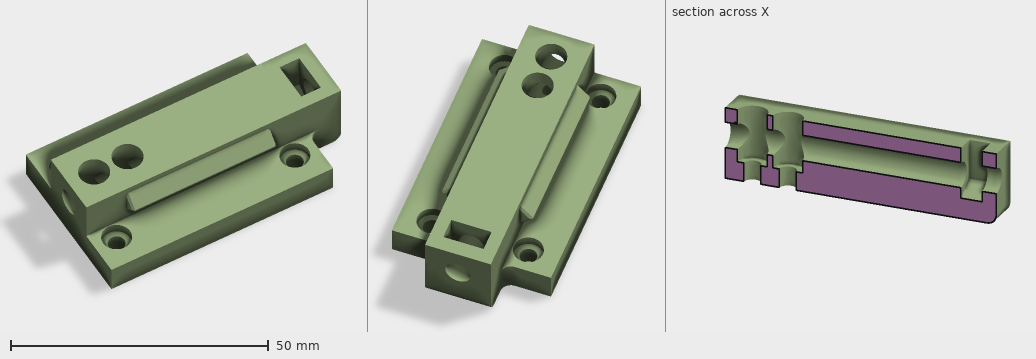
import cadquery as cq
import math

length = 57.25
width = 33.0
height = 15.0
base_height = 6.0
bar_width = 13.6
front_y = -length / 2
base_back_y = 21.2
base_length = base_back_y - front_y
toe_radius = 2.0
root_radius = 2.2

bore_diameter = 5.25
bore_z = 9.2
nut_width = 8.35
nut_front_y = base_back_y
nut_thickness = 4.4

screw_diameter = 3.5
base_head_diameter = 6.0
base_head_depth = 2.0
head_floor_z = base_height - base_head_depth
base_hole_spacing_x = 20.0
base_hole_spacing_y = 40.0
base_hole_center_y = -3.65
bar_head_diameter = 6.25
bar_hole_ys = (-22.9, -15.4)

rail_depth = 2.75
rail_z = 10.75
rail_front_y = -19.65
rail_length = 32.3
rail_chamfer = 0.45
rail_tip_flat = 0.3


def make_body():
    """Base plate and bar, with root fillets and a rounded lower toe."""
    base = cq.Workplane("XY").box(width, base_length, base_height, centered=(True, False, False))
    bar = cq.Workplane("XY").box(bar_width, length, height, centered=(True, False, False))
    bar = bar.edges(">Y and <Z").fillet(toe_radius)
    body = base.union(bar).translate((0, front_y, 0))
    for side in (-1, 1):
        root_x = side * bar_width / 2
        outer_x = root_x + side * root_radius
        mid_offset = root_radius * (1 - math.sqrt(0.5))
        root = (
            cq.Workplane("XY")
            .moveTo(root_x, base_back_y)
            .lineTo(outer_x, base_back_y)
            .threePointArc(
                (root_x + side * mid_offset, base_back_y + mid_offset),
                (root_x, base_back_y + root_radius),
            )
            .close()
            .extrude(base_height)
        )
        body = body.union(root)
    return body


def make_rails():
    """Square rod on edge through the bar; its corners form both side rails."""
    sharp_tip_x = bar_width / 2 + rail_depth
    flat_tip_x = sharp_tip_x - rail_tip_flat / 2
    profile = [(sharp_tip_x, 0), (0, sharp_tip_x), (-sharp_tip_x, 0), (0, -sharp_tip_x)]
    rod = cq.Workplane("XZ").polyline(profile).close().extrude(-rail_length)
    rod = rod.faces("<Y or >Y").chamfer(rail_chamfer)
    keep = cq.Workplane("XY").box(
        2 * flat_tip_x, rail_length, 2 * rail_depth, centered=(True, False, True)
    )
    return rod.intersect(keep).translate((0, rail_front_y, rail_z))


def make_nut_pocket():
    """Slot open at the top, ending in the lower two flats of a hex nut."""
    half_width = nut_width / 2
    corner_drop = half_width / math.cos(math.radians(30))
    flat_end_drop = half_width * math.tan(math.radians(30))
    profile = [
        (-half_width, height),
        (-half_width, bore_z - flat_end_drop),
        (0, bore_z - corner_drop),
        (half_width, bore_z - flat_end_drop),
        (half_width, height),
    ]
    pocket = cq.Workplane("XZ").polyline(profile).close().extrude(-nut_thickness)
    return pocket.translate((0, nut_front_y, 0))


def make_screw_hole(x, y, head_diameter, top_z):
    """Through hole with a flat-bottomed head recess."""
    shank = cq.Workplane("XY").circle(screw_diameter / 2).extrude(top_z)
    head = cq.Workplane("XY", origin=(0, 0, head_floor_z)).circle(head_diameter / 2)
    head = head.extrude(top_z - head_floor_z)
    return shank.union(head).translate((x, y, 0))


result = make_body().union(make_rails())

bore = cq.Workplane("XZ", origin=(0, front_y, bore_z)).circle(bore_diameter / 2).extrude(-length)
result = result.cut(bore).cut(make_nut_pocket())

for x_side in (-1, 1):
    for y_side in (-1, 1):
        hole_x = x_side * base_hole_spacing_x / 2
        hole_y = base_hole_center_y + y_side * base_hole_spacing_y / 2
        result = result.cut(
            make_screw_hole(hole_x, hole_y, base_head_diameter, base_height)
        )

for hole_y in bar_hole_ys:
    result = result.cut(make_screw_hole(0, hole_y, bar_head_diameter, height))